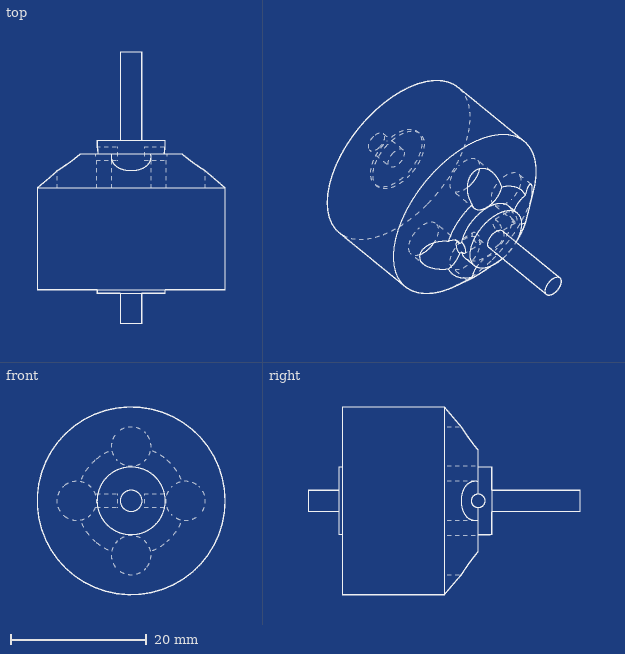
import cadquery as cq

can_diameter = 27.7
can_length = 15.0
cone_length = 5.0
cone_end_diameter = 16.0
collar_diameter = 10.0
collar_length = 2.0
front_boss_length = 0.5
shaft_diameter = 3.15
shaft_length = 40.0
shaft_front_reach = 5.0
pocket_diameter = 5.8
pocket_center_radius = 8.0
pocket_count = 4
screw_hole_diameter = 2.0
screw_hole_floor_radius = 2.0

cone_end = can_length + cone_length
collar_end = cone_end + collar_length


def cylinder_y(diameter, start, end, x=0, z=0):
    """Cylinder parallel to Y between two Y positions."""
    return cq.Workplane(
        cq.Solid.makeCylinder(diameter / 2, end - start, cq.Vector(x, start, z), cq.Vector(0, 1, 0))
    )


def housing():
    """Cylindrical can closed by a tapered back."""
    profile = [
        (0, 0),
        (can_diameter / 2, 0),
        (can_diameter / 2, can_length),
        (cone_end_diameter / 2, cone_end),
        (0, cone_end),
    ]
    return cq.Workplane("XY").polyline(profile).close().revolve(360, (0, 0, 0), (0, 1, 0))


def pockets():
    """Round pockets around the axis, as deep as the tapered back."""
    first = cylinder_y(pocket_diameter, can_length, cone_end, x=pocket_center_radius)
    cutters = cq.Workplane("XY")
    for index in range(pocket_count):
        cutters = cutters.add(first.rotate((0, 0, 0), (0, 1, 0), index * 360 / pocket_count))
    return cutters.combine()


def screw_hole(side):
    """Blind flat-bottomed radial hole, centred where the collar meets the back; side is +1 or -1 along X."""
    return cq.Workplane(
        cq.Solid.makeCylinder(
            screw_hole_diameter / 2,
            pocket_center_radius - screw_hole_floor_radius,
            cq.Vector(side * screw_hole_floor_radius, cone_end, 0),
            cq.Vector(side, 0, 0),
        )
    )


result = (
    housing()
    .cut(pockets())
    .union(cylinder_y(collar_diameter, cone_end, collar_end))
    .union(cylinder_y(collar_diameter, -front_boss_length, 0))
    .union(cylinder_y(shaft_diameter, -shaft_front_reach, shaft_length - shaft_front_reach))
    .cut(screw_hole(1))
    .cut(screw_hole(-1))
)